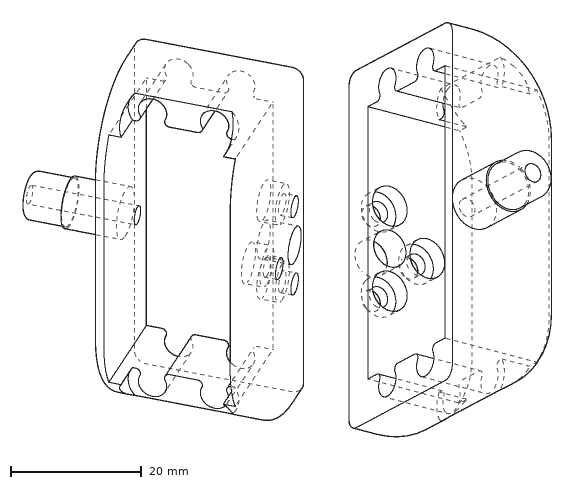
import cadquery as cq
import math

body_width = 27.5
body_depth = 19.5
body_height = 59.0
corner_radius = 15.05
edge_radius = 1.95

opening_left = 1.95
opening_right = 22.5
opening_half_height = 22.5

pivot_length = 15.6
pivot_radius = 4.15
pivot_axis_y = -pivot_radius
tip_length = 6.55
tip_radius = 3.85
tip_rounding = 0.9
pivot_bore_radius = 1.5

channel_radius = 2.3
channel_left_x = 7.2
channel_spacing = 10.1
channel_z = 24.7
lip_radius = 0.8

recess_radius = 3.95
recess_floor_y = -12.05

hub_hole_radius = 3.0
screw_circle_radius = 7.0
counterbore_radius = 3.25
counterbore_depth = 3.0
screw_hole_radius = 1.7


def cylinder_x(radius, start_x, length, y=pivot_axis_y, z=0):
    """Cylinder running toward +X from start_x."""
    return cq.Workplane("YZ", origin=(start_x, y, z)).circle(radius).extrude(length)


def make_body():
    half_height = body_height / 2
    straight_depth = body_depth - corner_radius
    corner_z = half_height - corner_radius
    mid_y = -straight_depth - corner_radius * math.sqrt(0.5)
    mid_z = corner_z + corner_radius * math.sqrt(0.5)
    body = (
        cq.Workplane("YZ")
        .moveTo(0, -half_height)
        .lineTo(-straight_depth, -half_height)
        .threePointArc((mid_y, -mid_z), (-body_depth, -corner_z))
        .lineTo(-body_depth, corner_z)
        .threePointArc((mid_y, mid_z), (-straight_depth, half_height))
        .lineTo(0, half_height)
        .close()
        .extrude(body_width)
    )
    body = body.faces("<X or >X").edges("not(>Y)").fillet(edge_radius)
    opening = cq.Workplane("XY").box(
        opening_right - opening_left, body_depth, 2 * opening_half_height, centered=(False, False, True)
    )
    return body.cut(opening.translate((opening_left, -body_depth, 0)))


def make_channel(center_x):
    """Upper screw channel with a rounded lip on each side of its mouth."""
    lip_z = opening_half_height + lip_radius
    lip_offset = math.sqrt((channel_radius + lip_radius) ** 2 - (channel_z - lip_z) ** 2)
    left_x = center_x - lip_offset
    right_x = center_x + lip_offset
    plane = cq.Workplane("XZ")
    mouth = plane.polyline([
        (center_x, channel_z),
        (left_x, lip_z),
        (left_x, opening_half_height),
        (right_x, opening_half_height),
        (right_x, lip_z),
    ]).close().extrude(body_depth)
    lips = plane.pushPoints([(left_x, lip_z), (right_x, lip_z)]).circle(lip_radius).extrude(body_depth)
    bore = plane.center(center_x, channel_z).circle(channel_radius).extrude(body_depth)
    return mouth.cut(lips).union(bore)


def make_head_recess():
    center_x = channel_left_x + channel_spacing / 2
    return (
        cq.Workplane("XZ", origin=(center_x, recess_floor_y, channel_z))
        .slot2D(channel_spacing + 2 * recess_radius, 2 * recess_radius)
        .extrude(body_depth + recess_floor_y)
    )


def add_pivot(body):
    shoulder = cylinder_x(pivot_radius, tip_length - pivot_length, pivot_length - tip_length)
    tip = cylinder_x(tip_radius, -pivot_length, tip_length).faces("<X").edges().fillet(tip_rounding)
    bore = cylinder_x(pivot_bore_radius, -pivot_length, pivot_length + opening_left)
    return body.union(shoulder).union(tip).cut(bore)


def cut_right_wall_holes(body):
    wall_thickness = body_width - opening_right
    body = body.cut(cylinder_x(hub_hole_radius, opening_right, wall_thickness))
    screw_positions = [
        (pivot_axis_y, screw_circle_radius),
        (pivot_axis_y, -screw_circle_radius),
        (pivot_axis_y - screw_circle_radius, 0),
    ]
    for y, z in screw_positions:
        body = body.cut(cylinder_x(counterbore_radius, opening_right, counterbore_depth, y, z))
        body = body.cut(cylinder_x(screw_hole_radius, opening_right, wall_thickness, y, z))
    return body


result = add_pivot(make_body())
upper_cuts = [
    make_channel(channel_left_x),
    make_channel(channel_left_x + channel_spacing),
    make_head_recess(),
]
for cutter in upper_cuts:
    result = result.cut(cutter).cut(cutter.mirror("XY"))
result = cut_right_wall_holes(result)